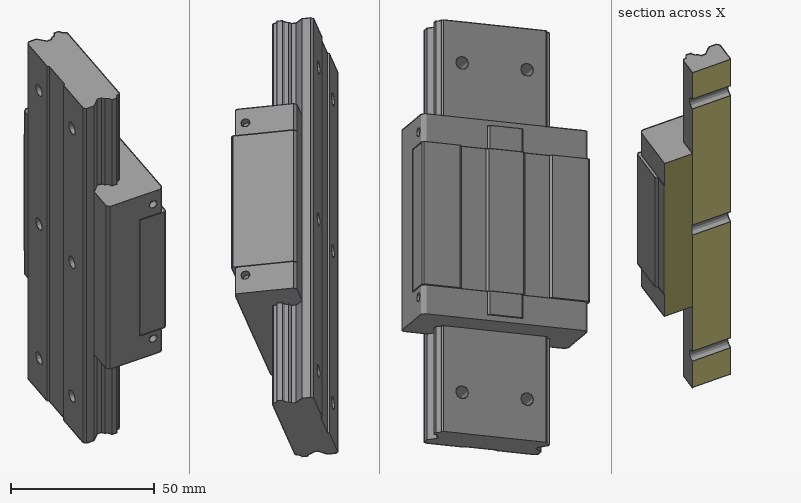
import cadquery as cq

rail_length = 150.0
rail_height = 15.0
rail_half_width = 21.0
rail_foot_chamfer = 0.9
rail_foot_height = 3.9
waist_half_width = 18.3
waist_top = 8.2
waist_bottom = rail_foot_height + rail_half_width - waist_half_width
head_side_bottom = waist_top + rail_half_width - waist_half_width
head_side_top = 12.9
crown_half_width = 18.9

lower_groove = [(19.4, 9.2), (19.6, 10.0), (20.4, 10.6)]
upper_groove = [(20.5, 13.0), (19.8, 13.5), (19.5, 14.4)]

relief_half_width = 6.0
relief_depth = 0.6
relief_flank = 0.5

hole_radius = 2.2
hole_half_gauge = 12.0
hole_pitch = 60.0

carriage_height = 27.0
carriage_bottom = rail_foot_height
carriage_chamfer = 1.0
body_length = 51.9
body_half_width = 62.0 / 2
body_top_chamfer = 0.6
channel_depth = 0.9
channel_inner = 6.3
channel_outer = 17.1

caps_length = 72.9
cap_half_width = 61.4 / 2
cap_top = 26.0
cap_top_radius = 1.6

side_step_height = 16.6

strip_length = 68.8
strip_half_width = 5.8
strip_flank = 0.8
strip_drop = 0.22
strip_top = carriage_height - strip_drop

side_hole_radius = 1.5
side_hole_depth = 3.0
side_hole_height = 22.0
side_hole_z_upper = 30.8
side_hole_z_lower = -29.4


def extrude_profile(points, length):
    """Symmetric solid along Z whose section is the given right half and its mirror image."""
    mirrored = [(-x, y) for x, y in reversed(points)]
    return cq.Workplane("XY").polyline(points + mirrored).close().extrude(length / 2, both=True)


def rail_blank():
    right_half = (
        cq.Workplane("XY")
        .moveTo(0, relief_depth)
        .lineTo(relief_half_width - relief_flank, relief_depth)
        .lineTo(relief_half_width, 0)
        .lineTo(rail_half_width - rail_foot_chamfer, 0)
        .lineTo(rail_half_width, rail_foot_chamfer)
        .lineTo(rail_half_width, rail_foot_height)
        .lineTo(waist_half_width, waist_bottom)
        .lineTo(waist_half_width, waist_top)
        .lineTo(*lower_groove[0])
        .threePointArc(*lower_groove[1:])
        .lineTo(rail_half_width, head_side_bottom)
        .lineTo(rail_half_width, head_side_top)
        .lineTo(*upper_groove[0])
        .threePointArc(*upper_groove[1:])
        .lineTo(crown_half_width, rail_height)
        .lineTo(0, rail_height)
        .close()
        .extrude(rail_length / 2, both=True)
    )
    return right_half.union(right_half.mirror("YZ"))


def make_rail():
    centers = [(x, z) for x in (-hole_half_gauge, hole_half_gauge) for z in (-hole_pitch, 0, hole_pitch)]
    holes = cq.Workplane("XZ").pushPoints(centers).circle(hole_radius).extrude(-rail_height)
    return rail_blank().cut(holes)


def lower_section(half_width, top):
    """Right half of a block section with a chamfered lower edge and a side reaching up to top."""
    return [
        (half_width - carriage_chamfer, carriage_bottom),
        (half_width, carriage_bottom + carriage_chamfer),
        (half_width, top),
    ]


def top_channels():
    floor = carriage_height - channel_depth
    channel = (
        cq.Workplane("XY")
        .polyline([
            (channel_inner, carriage_height),
            (channel_inner + channel_depth, floor),
            (channel_outer - channel_depth, floor),
            (channel_outer, carriage_height),
        ])
        .close()
        .extrude(body_length / 2, both=True)
    )
    return channel.union(channel.mirror("YZ"))


def side_relief():
    """Thin slice off the lower +X side of the body, outside the section of the caps."""
    depth = body_half_width - cap_half_width
    chamfer_foot, chamfer_head, step = lower_section(cap_half_width, side_step_height)
    section = [
        chamfer_foot,
        chamfer_head,
        step,
        (step[0] + depth, side_step_height),
        (step[0] + depth, carriage_bottom),
    ]
    return cq.Workplane("XY").polyline(section).close().extrude(body_length / 2, both=True)


def make_body():
    half_section = lower_section(body_half_width, carriage_height - body_top_chamfer)
    half_section.append((body_half_width - body_top_chamfer, carriage_height))
    body = extrude_profile(half_section, body_length)
    return body.cut(top_channels()).cut(side_relief())


def make_caps():
    """One block that runs through the body and forms an end cap on either end of it."""
    caps = extrude_profile(lower_section(cap_half_width, cap_top), caps_length)
    return caps.edges("|Z and >Y").fillet(cap_top_radius)


def middle_strip():
    base_half_width = strip_half_width + strip_flank
    half_section = [
        (base_half_width, cap_top - channel_depth),
        (base_half_width, cap_top),
        (strip_half_width, strip_top),
    ]
    return extrude_profile(half_section, strip_length)


def side_holes():
    centers = [(side_hole_height, z) for z in (side_hole_z_lower, side_hole_z_upper)]
    left = (
        cq.Workplane("YZ", origin=(-cap_half_width, 0, 0))
        .pushPoints(centers)
        .circle(side_hole_radius)
        .extrude(side_hole_depth)
    )
    return left.union(left.mirror("YZ"))


def make_carriage():
    carriage = make_body().union(make_caps()).union(middle_strip())
    return carriage.cut(side_holes()).cut(rail_blank())


rail = make_rail()
carriage = make_carriage()

result = cq.Compound.makeCompound([rail.val(), carriage.val()])